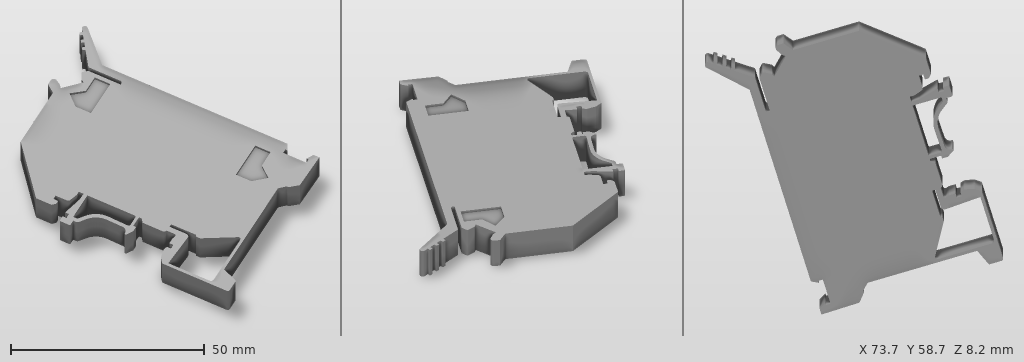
import cadquery as cq
import math


thickness = 8.2
overall_width = 73.7
top = 49.5
left_wall = 3.3
right_wall = 69.0
wall_top = 35.7
flare_step = 37.3
body_base = 10.6
rail_face = 9.5

lever_root = (10.3, top)
lever_tip_upper = (0.8, 59.0, 0.7)
lever_tip_lower = (-0.15, 57.9, 0.5)
lever_heel = (7.5, 47.25)
tooth_count = 3
tooth_start = 1.7
tooth_pitch = 2.4
tooth_length = 0.95
tooth_height = 0.8

slot_end = 17.5
slot_height = 1.0

latch_left = 0.9

groove_left = 64.8
groove_right = 71.6
groove_floor = 46.45
groove_lip_bottom = 47.6
groove_lip = 0.6
groove_flare = 1.0

catch_base = 3.6
catch_left = 19.45
catch_right = 20.85
catch_top = 5.5
catch_roof = 6.7

stem_left = 24.2
stem_right = 26.7
stem_foot_right = 27.3
stem_notch_depth = 1.1
stem_notch_bottom = 1.7
stem_notch_top = 3.1
spring_top = 7.15
spring_thickness = 1.0
spring_droop = 0.2
spring_window_bottom = 2.8
hook_inner = 40.9
hook_base = 4.1
hook_outer = 42.5
hook_shoulder = 7.5
hook_web = 0.8

foot_base = 0.3
foot_face = 52.55
foot_right = 73.4
foot_notch_depth = 1.2
foot_notch_bottom = 5.6
foot_notch_top = 6.9
foot_root = 10.2
slit_end = 50.05
slit_bottom = 11.65
slit_top = 12.5
ramp_foot = 12.0
foot_window_bottom = 1.1
foot_window_right = 68.2

pocket_depth = 0.75
pocket_mirror_x = 36.2
pocket_inner = 21.15
pocket_outer = 25.65
pocket_point = 29.05
pocket_top = 45.1
pocket_bottom = 34.5
pocket_shoulder = 40.25
pocket_point_y = 37.5


def toward(start, end, distance):
    """Point at a distance from start on the line to end."""
    share = distance / math.dist(start, end)
    return tuple(s + (e - s) * share for s, e in zip(start, end))


def prism(corners, height):
    """Extrude a closed outline, rounding each corner that has a radius."""
    points = [corner[:2] for corner in corners]
    stretches = []
    for i, corner in enumerate(corners):
        point = points[i]
        if len(corner) == 2:
            stretches.append([point])
            continue
        radius = corner[2]
        before = points[i - 1]
        after = points[(i + 1) % len(points)]
        near = toward(point, before, 0.75)
        far = toward(point, after, 0.75)
        half_angle = math.asin(math.dist(near, far) / 1.5)
        middle = ((near[0] + far[0]) / 2, (near[1] + far[1]) / 2)
        setback = radius / math.tan(half_angle)
        arc_distance = radius / math.sin(half_angle) - radius
        stretches.append([
            toward(point, before, setback),
            toward(point, middle, arc_distance),
            toward(point, after, setback),
        ])
    sketch = cq.Workplane("XY").moveTo(*stretches[0][-1])
    for stretch in stretches[1:] + stretches[:1]:
        sketch = sketch.lineTo(*stretch[0])
        if len(stretch) == 3:
            sketch = sketch.threePointArc(stretch[1], stretch[2])
    return sketch.close().extrude(height)


def lever_underside():
    """Grip teeth from the lever tip down to the heel."""
    tip = lever_tip_lower[:2]
    length = math.dist(tip, lever_heel)
    along = ((lever_heel[0] - tip[0]) / length, (lever_heel[1] - tip[1]) / length)
    outward = (along[1], -along[0])

    def place(distance, height):
        return tuple(tip[k] + along[k] * distance + outward[k] * height for k in range(2))

    corners = []
    for i in range(tooth_count):
        start = tooth_start + i * tooth_pitch
        end = start + tooth_length
        corners += [
            place(start, 0),
            place(start, tooth_height),
            place(end, tooth_height),
            place(end, 0),
        ]
    return corners


def lever_and_slot():
    """Toothed lever and the slot beneath it."""
    slot_top = lever_heel[1]
    slot_bottom = slot_top - slot_height
    return [
        lever_root,
        lever_tip_upper,
        lever_tip_lower,
        *lever_underside(),
        lever_heel,
        (slot_end, slot_top, 0.7),
        (slot_end, slot_bottom),
    ]


def left_side():
    """Nose under the slot, V notch, latch and the left wall."""
    return [
        (8.0, lever_heel[1] - slot_height),
        (6.7, 44.95, 0.45),
        (7.9, 42.8),
        (8.7, 42.4),
        (4.35, 37.95),
        (3.7, 38.85),
        (latch_left, 40.55, 0.9),
        (latch_left, 37.5),
        (left_wall, wall_top),
        (left_wall, 17.9),
        (15.4, catch_base),
    ]


def left_hook():
    """Short fixed hook and the gap beside the spring stem."""
    return [
        (20.0, catch_base),
        (catch_right, 4.5),
        (catch_right, catch_top, 0.3),
        (catch_left, catch_top),
        (catch_left, catch_roof),
        (23.3, catch_roof, 0.75),
        (stem_left, 9.4),
        (stem_left, body_base),
    ]


def spring_foot():
    """Notched stem, curved spring and its end hook."""
    notch_floor = stem_left + stem_notch_depth
    spring_underside = spring_top - spring_thickness
    return [
        (25.6, body_base),
        (25.5, 8.5),
        (stem_left, stem_notch_top),
        (notch_floor, stem_notch_top),
        (notch_floor, stem_notch_bottom),
        (stem_left, stem_notch_bottom),
        (stem_left, 0, 0.3),
        (stem_foot_right, 0, 0.3),
        (stem_foot_right, stem_notch_bottom),
        (28.5, stem_notch_bottom, 0.9),
        (31.8, spring_underside, 5.9),
        (hook_inner, spring_underside - spring_droop, 1.5),
        (hook_inner, hook_base),
        (41.4, hook_base),
        (hook_outer, 6.0),
        (hook_outer, hook_shoulder),
        (hook_inner + hook_web, hook_shoulder),
        (hook_inner + hook_web, body_base, 0.3),
    ]


def rail_foot():
    """Rail face, notched foot and the toe on the right."""
    notch_floor = foot_face + foot_notch_depth
    return [
        (42.6, body_base),
        (43.35, rail_face),
        (49.6, rail_face),
        (slit_end, foot_root),
        (53.0, foot_root, 0.45),
        (foot_face, 8.7),
        (foot_face, foot_notch_top),
        (notch_floor, foot_notch_top),
        (notch_floor, foot_notch_bottom),
        (foot_face, foot_notch_bottom),
        (52.2, 4.4, 0.75),
        (52.8, 1.9),
        (53.95, foot_base),
        (foot_right, foot_base, 0.7),
        (foot_right, 4.3, 0.4),
        (right_wall, 6.1),
    ]


def right_side():
    """Right wall and its flare up to the upper edge."""
    return [
        (right_wall, wall_top),
        (70.7, flare_step),
        (71.2, flare_step),
        (73.5, 39.2),
        (overall_width, top),
    ]


def label_groove():
    """Groove with two overhanging lips, from right to left."""
    right_lip = groove_right - groove_lip
    left_lip = groove_left + groove_lip
    return [
        (right_lip + groove_flare, top),
        (right_lip, groove_lip_bottom),
        (groove_right, groove_lip_bottom),
        (groove_right, groove_floor),
        (groove_left, groove_floor),
        (groove_left, groove_lip_bottom),
        (left_lip, groove_lip_bottom),
        (left_lip - groove_flare, top),
    ]


def spring_window():
    """Opening between the housing and the curved spring."""
    return prism([
        (stem_right, body_base),
        (hook_inner, body_base, 0.4),
        (hook_inner, spring_top - spring_droop, 0.45),
        (31.25, spring_top + 0.1, 6.6),
        (27.9, spring_window_bottom, 0.3),
        (stem_right, spring_window_bottom),
    ], thickness)


def foot_window():
    """Opening of the rail foot, with the slit that makes the foot springy."""
    return prism([
        (55.35, foot_window_bottom),
        (55.95, slit_bottom, 0.8),
        (slit_end, slit_bottom, 0.3),
        (slit_end, slit_top, 0.45),
        (57.4, slit_top),
        (57.65, ramp_foot),
        (58.8, ramp_foot),
        (foot_window_right, 17.5, 0.6),
        (foot_window_right, foot_window_bottom, 0.9),
    ], thickness)


def pocket(side):
    """Arrow-shaped recess in the upper face; side is -1 left, +1 right."""
    outline = [
        (pocket_inner, pocket_top),
        (pocket_outer, pocket_top),
        (pocket_outer, pocket_shoulder),
        (pocket_point, pocket_point_y),
        (pocket_outer, pocket_bottom),
        (pocket_inner, pocket_bottom),
    ]
    corners = [(pocket_mirror_x + side * x, y) for x, y in outline]
    return prism(corners, pocket_depth).translate((0, 0, thickness - pocket_depth))


housing_outline = (
    lever_and_slot()
    + left_side()
    + left_hook()
    + spring_foot()
    + rail_foot()
    + right_side()
    + label_groove()
)

result = prism(housing_outline, thickness)
result = result.cut(spring_window()).cut(foot_window())
for side in (-1, 1):
    result = result.cut(pocket(side))